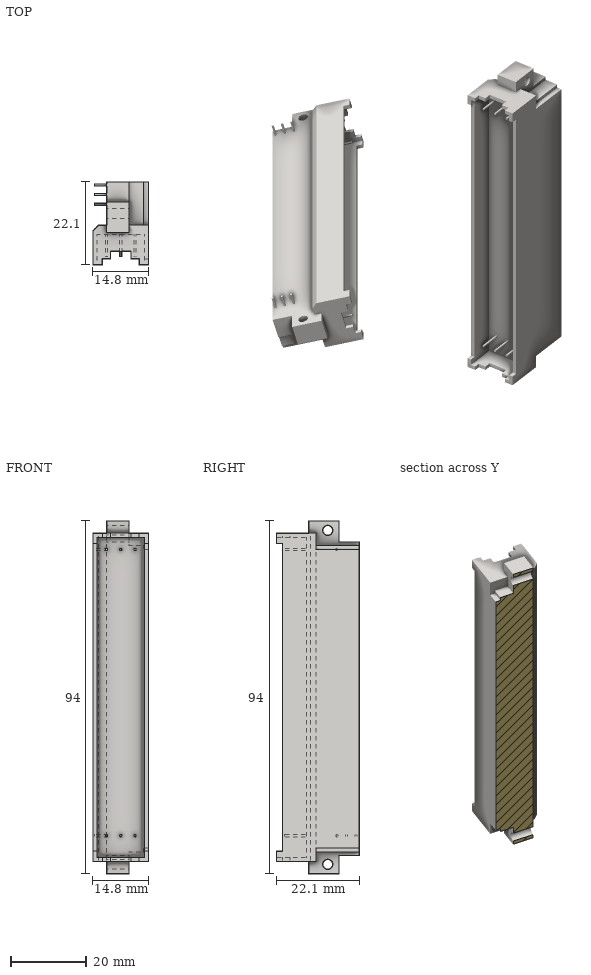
import cadquery as cq


WIDTH = 14.8
DEPTH = 22.1
LENGTH = 94.0

SHROUD_DEPTH = 10.6
TAB_RISE = 3.3
SHROUD_LENGTH = LENGTH - 2 * TAB_RISE
BACK_CHAMFER = 1.5
SIDE_WALL = 1.1
END_WALL = 1.1
CAVITY_DEPTH = 8.1

RIM_CUT_DEPTH = 1.6
CORNER_LEG_LENGTH = 2.8
WIDE_NOTCH_WIDTH = 9.8
NARROW_NOTCH_WIDTH = 5.4
NARROW_NOTCH_DEPTH = 3.6

BODY_WIDTH = 11.2
BODY_TOP = 41.4
BODY_BOTTOM = -42.1
BODY_RIGHT = WIDTH / 2
BODY_LEFT = BODY_RIGHT - BODY_WIDTH
EDGE_STRIP_WIDTH = 1.4
STEP_HEIGHT = 1.0

TAB_WIDTH = 6.0
TAB_FRONT = 8.6
TAB_BACK = 16.7
HOLE_DIAMETER = 2.6
HOLE_SPACING = 88.9
HOLE_Y = 13.7

PITCH = 2.54
PIN_DIAMETER = 0.6
UPPER_PIN_Z = 15.5 * PITCH
PITCHES_BETWEEN_LEVELS = 30
PIN_LEVELS = (UPPER_PIN_Z, UPPER_PIN_Z - PITCHES_BETWEEN_LEVELS * PITCH)
CONTACTS_PER_ROW = 3
MATING_PIN_PITCH = 1.5 * PITCH
MATING_PIN_TIP_Y = 2.2
TAIL_LENGTH = 3.2
MIDDLE_TAIL_SETBACK = 3.4
MIDDLE_TAIL_Y = DEPTH - MIDDLE_TAIL_SETBACK
EMBED = 0.5


def box(x_range, y_range, z_range):
    """Axis-aligned box between the given limits."""
    size = [high - low for low, high in (x_range, y_range, z_range)]
    corner = (x_range[0], y_range[0], z_range[0])
    return cq.Workplane("XY").box(*size, centered=False).translate(corner)


def centred(size):
    """Limits of a span of the given size centred on zero."""
    return (-size / 2, size / 2)


def make_shroud():
    """Open box with a chamfered back edge and a stepped rim."""
    shroud = box(centred(WIDTH), (0, SHROUD_DEPTH), centred(SHROUD_LENGTH))
    shroud = shroud.edges("<X and >Y").chamfer(BACK_CHAMFER)

    cavity = box(
        centred(WIDTH - 2 * SIDE_WALL),
        (0, CAVITY_DEPTH),
        centred(SHROUD_LENGTH - 2 * END_WALL),
    )
    side_cut = box(
        centred(WIDTH),
        (0, RIM_CUT_DEPTH),
        centred(SHROUD_LENGTH - 2 * CORNER_LEG_LENGTH),
    )
    wide_notch = box(centred(WIDE_NOTCH_WIDTH), (0, RIM_CUT_DEPTH), centred(SHROUD_LENGTH))
    narrow_notch = box(
        centred(NARROW_NOTCH_WIDTH), (0, NARROW_NOTCH_DEPTH), centred(SHROUD_LENGTH)
    )
    return shroud.cut(cavity).cut(side_cut).cut(wide_notch).cut(narrow_notch)


def make_body():
    """Rear block stepping down at both ends, from the tab side towards the right side."""
    step_edges = (
        BODY_LEFT,
        BODY_LEFT + TAB_WIDTH,
        BODY_RIGHT - EDGE_STRIP_WIDTH,
        BODY_RIGHT,
    )
    body = cq.Workplane("XY")
    for step, x_range in enumerate(zip(step_edges, step_edges[1:])):
        drop = step * STEP_HEIGHT
        slab = box(x_range, (SHROUD_DEPTH, DEPTH), (BODY_BOTTOM + drop, BODY_TOP - drop))
        body = body.union(slab)
    return body


def make_tab(end):
    """Mounting tab at the upper (end = 1) or lower (end = -1) end, with its cross hole."""
    shroud_end = SHROUD_LENGTH / 2
    body_end = BODY_TOP if end > 0 else -BODY_BOTTOM
    tip = LENGTH / 2
    x_range = (BODY_LEFT, BODY_LEFT + TAB_WIDTH)
    over_body = box(x_range, (SHROUD_DEPTH, TAB_BACK), sorted((end * body_end, end * tip)))
    over_shroud = box(x_range, (TAB_FRONT, SHROUD_DEPTH), sorted((end * shroud_end, end * tip)))
    hole = (
        cq.Workplane("YZ", origin=(BODY_LEFT, 0, 0))
        .center(HOLE_Y, end * HOLE_SPACING / 2)
        .circle(HOLE_DIAMETER / 2)
        .extrude(TAB_WIDTH)
    )
    return over_body.union(over_shroud).cut(hole)


def make_mating_pin(x, z):
    """Round pin standing on the cavity floor and pointing to the front."""
    root = CAVITY_DEPTH + EMBED
    return (
        cq.Workplane("XZ", origin=(x, root, z))
        .circle(PIN_DIAMETER / 2)
        .extrude(root - MATING_PIN_TIP_Y)
    )


def make_tail(y, z):
    """Round solder tail standing out from the left side of the body."""
    return (
        cq.Workplane("YZ", origin=(BODY_LEFT - TAIL_LENGTH, y, z))
        .circle(PIN_DIAMETER / 2)
        .extrude(TAIL_LENGTH + EMBED)
    )


result = make_shroud().union(make_body())

for end in (1, -1):
    result = result.union(make_tab(end))

for level in PIN_LEVELS:
    for index in range(CONTACTS_PER_ROW):
        offset = index - (CONTACTS_PER_ROW - 1) / 2
        result = result.union(make_mating_pin(offset * MATING_PIN_PITCH, level))
        result = result.union(make_tail(MIDDLE_TAIL_Y + offset * PITCH, level))